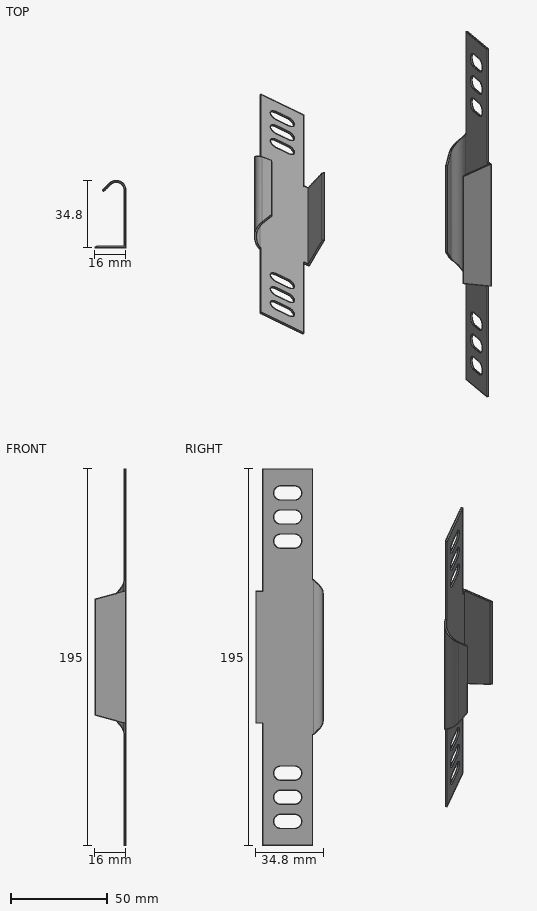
import cadquery as cq
import math

length = 195.0
thickness = 1.0
web_bottom = 3.5
web_top = 29.5

flange_reach = 16.0
flange_root_half = 34.1
flange_tip_half = 30.0
tip_bevel_length = 1.2
tip_bevel_depth = 0.5

hook_start = 29.8
hook_outer_radius = 5.0
hook_bend = math.radians(135)
lip_length = 5.0
hook_root_half = 40.2
hook_taper = 1.0

slot_length = 14.5
slot_width = 7.2
slot_pitch = 12.5
slots_per_end = 3

inner_radius = hook_outer_radius - thickness
middle_radius = hook_outer_radius - thickness / 2
bend_length = middle_radius * hook_bend
bend_end_half = hook_root_half - hook_taper * bend_length


def make_web():
    width = web_top - web_bottom
    web = cq.Workplane("XY").box(thickness, width, length)
    web = web.translate((-thickness / 2, (web_bottom + web_top) / 2, 0))
    slot_places = []
    for index in range(slots_per_end):
        height = length / 2 - slot_pitch * (index + 1)
        slot_places += [(0, height), (0, -height)]
    slots = (
        cq.Workplane("YZ", origin=(0, (web_bottom + web_top) / 2, 0))
        .pushPoints(slot_places)
        .slot2D(slot_length, slot_width)
        .extrude(thickness, both=True)
    )
    return web.cut(slots)


def make_flange():
    tab = cq.Workplane("XY").box(thickness, web_bottom, 2 * flange_root_half)
    tab = tab.translate((-thickness / 2, web_bottom / 2, 0))
    leg = (
        cq.Workplane("XZ")
        .polyline([
            (0, flange_root_half),
            (-thickness, flange_root_half),
            (-flange_reach, flange_tip_half),
            (-flange_reach, -flange_tip_half),
            (-thickness, -flange_root_half),
            (0, -flange_root_half),
        ])
        .close()
        .extrude(-thickness)
    )
    bevel = (
        cq.Workplane("XY")
        .polyline([
            (-flange_reach, thickness - tip_bevel_depth),
            (-flange_reach + tip_bevel_length, thickness),
            (-flange_reach, thickness),
        ])
        .close()
        .extrude(flange_root_half, both=True)
    )
    return tab.union(leg.cut(bevel))


def make_neck():
    neck_width = hook_start - web_top
    neck = cq.Workplane("XY").box(thickness, neck_width, 2 * hook_root_half)
    return neck.translate((-thickness / 2, (web_top + hook_start) / 2, 0))


def bend_point(radius, angle, half_height):
    return cq.Vector(
        radius * math.cos(angle) - hook_outer_radius,
        radius * math.sin(angle) + hook_start,
        half_height,
    )


def bend_edge(radius, side):
    """Helical edge of the tapered bend; side is 1 at the top and -1 at the bottom."""
    steps = 12
    points = []
    for step in range(steps + 1):
        angle = hook_bend * step / steps
        half_height = hook_root_half - hook_taper * middle_radius * angle
        points.append(bend_point(radius, angle, side * half_height))
    return cq.Edge.makeSpline(points)


def make_bend():
    outer_top = bend_edge(hook_outer_radius, 1)
    outer_bottom = bend_edge(hook_outer_radius, -1)
    inner_top = bend_edge(inner_radius, 1)
    inner_bottom = bend_edge(inner_radius, -1)
    edge_pairs = [
        (outer_top, outer_bottom),
        (inner_top, inner_bottom),
        (outer_top, inner_top),
        (outer_bottom, inner_bottom),
    ]
    faces = [cq.Face.makeRuledSurface(first, second) for first, second in edge_pairs]
    for angle, half_height in [(0, hook_root_half), (hook_bend, bend_end_half)]:
        corners = [
            bend_point(hook_outer_radius, angle, half_height),
            bend_point(inner_radius, angle, half_height),
            bend_point(inner_radius, angle, -half_height),
            bend_point(hook_outer_radius, angle, -half_height),
        ]
        faces.append(cq.Face.makeFromWires(cq.Wire.makePolygon(corners, close=True)))
    bend = cq.Solid.makeSolid(cq.Shell.makeShell(faces))
    return cq.Workplane(bend.fix())


def make_lip():
    lip_plane = cq.Plane(
        origin=bend_point(inner_radius, hook_bend, 0),
        xDir=(-math.sin(hook_bend), math.cos(hook_bend), 0),
        normal=(math.cos(hook_bend), math.sin(hook_bend), 0),
    )
    lip_end_half = bend_end_half - hook_taper * lip_length
    return (
        cq.Workplane(lip_plane)
        .polyline([
            (0, bend_end_half),
            (lip_length, lip_end_half),
            (lip_length, -lip_end_half),
            (0, -bend_end_half),
        ])
        .close()
        .extrude(thickness)
    )


result = (
    make_web()
    .union(make_flange())
    .union(make_neck())
    .union(make_bend())
    .union(make_lip())
)